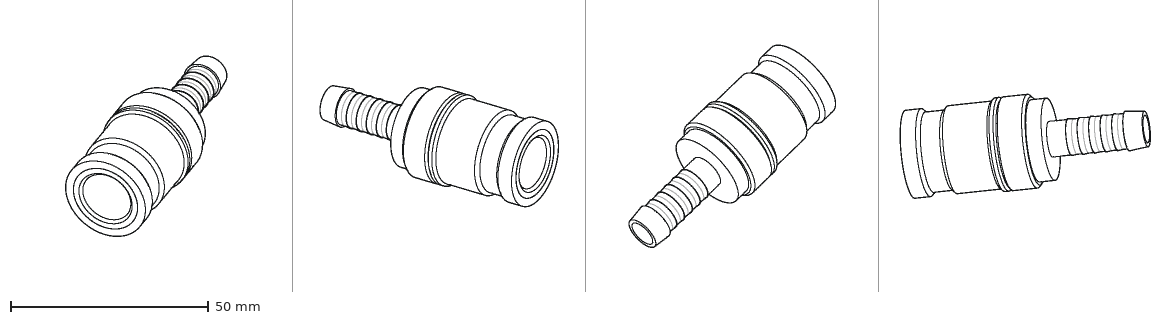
import cadquery as cq

total_length = 61.5

body_radius = 11.25
neck_radius = 10.3
rim_length = 4.05
neck_start = 5.05
neck_end = 10.1
body_start = neck_end + 1.0

collar_radius = 12.0
collar_bevel = collar_radius - body_radius
collar_start = 22.65
collar_end = 32.6
groove_center = 24.95
groove_half_width = 0.55
groove_depth = 0.75

shoulder_radius = 10.5
shoulder_end = 36.6

stem_radius = 4.55
end_barb_radius = 5.1
end_barb_length = 4.9
tooth_radius = 4.75
toothed_length = 15.0
tooth_count = 5
tooth_length = toothed_length / (2 * tooth_count)

socket_radius = 6.75
socket_depth = collar_end
socket_chamfer = 0.75
passage_radius = 3.5

recess_radius = 9.05
recess_depth = 0.05


def revolve_profile(points):
    """Turn a closed (radius, y) outline about the Y axis."""
    return cq.Workplane("XY").polyline(points).close().revolve(360, (0, 0, 0), (0, 1, 0))


def body_outline():
    """Outline from the socket face up to the root of the hose tail."""
    return [
        (0, 0),
        (body_radius, 0),
        (body_radius, rim_length),
        (neck_radius, neck_start),
        (neck_radius, neck_end),
        (body_radius, body_start),
        (body_radius, collar_start),
        (collar_radius, collar_start + collar_bevel),
        (collar_radius, groove_center - groove_half_width),
        (collar_radius - groove_depth, groove_center),
        (collar_radius, groove_center + groove_half_width),
        (collar_radius, collar_end - collar_bevel),
        (collar_radius - collar_bevel, collar_end),
        (shoulder_radius, collar_end),
        (shoulder_radius, shoulder_end),
        (stem_radius, shoulder_end),
    ]


def hose_tail_outline():
    """Outline of the small teeth and the large barb, up to the tail end."""
    end_barb_base = total_length - end_barb_length
    points = []
    for index in reversed(range(tooth_count)):
        tooth_tip = end_barb_base - 2 * tooth_length * (index + 1)
        points += [
            (stem_radius, tooth_tip),
            (tooth_radius, tooth_tip),
            (stem_radius, tooth_tip + tooth_length),
        ]
    points += [
        (stem_radius, end_barb_base),
        (end_barb_radius, end_barb_base),
        (stem_radius, total_length),
        (0, total_length),
    ]
    return points


def bore():
    """Recessed mouth, chamfered socket and the passage through the tail."""
    return revolve_profile([
        (0, 0),
        (recess_radius, 0),
        (recess_radius, recess_depth),
        (socket_radius + socket_chamfer, recess_depth),
        (socket_radius, recess_depth + socket_chamfer),
        (socket_radius, socket_depth),
        (passage_radius, socket_depth),
        (passage_radius, total_length),
        (0, total_length),
    ])


result = revolve_profile(body_outline() + hose_tail_outline()).cut(bore())